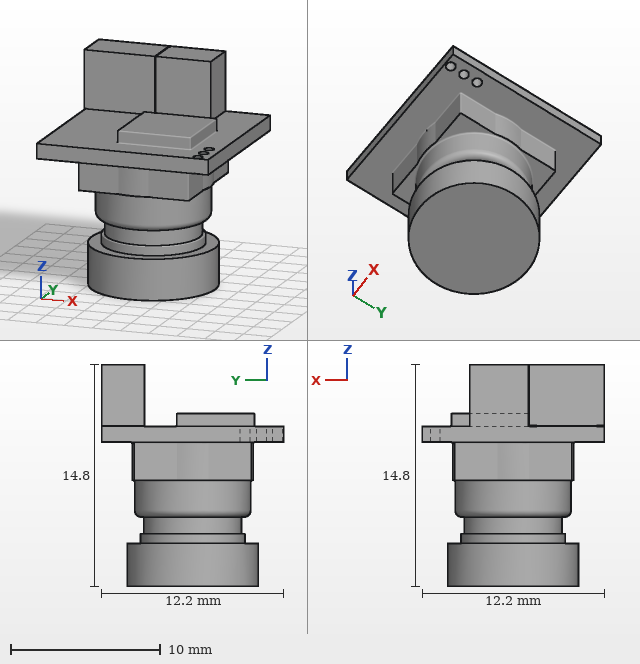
import cadquery as cq

EDGE_RADIUS = 0.09

BOARD_SIDE = 12.16
BOARD_THICKNESS = 1.05
HALF_BOARD = BOARD_SIDE / 2

HOLE_DIAMETER = 0.66
HOLE_COUNT = 3
HOLE_PITCH = 1.085
HOLE_INSET_X = 0.87
HOLE_INSET_Y = 0.43

CHIP_SIDE = 5.2
CHIP_HEIGHT = 0.87
CHIP_X = 1.53
CHIP_Y = -1.53

BLOCK_DEPTH = 2.87
BLOCK_HEIGHT = 4.13
BLOCK_ROW_LENGTH = 8.98
LEFT_BLOCK_LENGTH = 5.01
BLOCK_GAP = 0.06
PEDESTAL_INSET = 0.5

BASE_SIDE = 7.82
BASE_HEIGHT = 2.54
BULGE_RADIUS = 4.05

SLEEVE_RADIUS = 3.875
SLEEVE_FOOT_RADIUS = 0.12
SLEEVE_END = 5.0
SLEEVE_ROUNDING = 0.45
NECK_RADIUS = 3.27
NECK_END = 6.1
COLLAR_RADIUS = 3.49
COLLAR_ROUNDING = 0.06
COLLAR_END = 6.74
HEAD_RADIUS = 4.375
HEAD_END = 9.61

SELECTION_MARGIN = 0.01


def corner_box(x_start, x_end, y_start, y_end, z_start, z_end):
    """Axis-aligned box between two opposite corners."""
    size = (x_end - x_start, y_end - y_start, z_end - z_start)
    return cq.Workplane("XY").box(*size, centered=False).translate((x_start, y_start, z_start))


def cylinder_down(radius, depth_start, depth_end):
    """Cylinder on the lens axis between two depths below the board."""
    return cq.Workplane("XY", origin=(0, 0, -depth_end)).circle(radius).extrude(depth_end - depth_start)


def foot_edges(centre_x, centre_y, half_width, z):
    """Selector for edges in the flat face at height z that fit within half_width of the centre."""
    reach = half_width + SELECTION_MARGIN
    return cq.selectors.BoxSelector(
        (centre_x - reach, centre_y - reach, z - SELECTION_MARGIN),
        (centre_x + reach, centre_y + reach, z + SELECTION_MARGIN),
        boundingbox=True,
    )


def make_board():
    """Square board with the row of through holes."""
    board = corner_box(-HALF_BOARD, HALF_BOARD, -HALF_BOARD, HALF_BOARD, 0, BOARD_THICKNESS)
    hole_x = HALF_BOARD - HOLE_INSET_X
    first_hole_y = -HALF_BOARD + HOLE_INSET_Y
    hole_centres = [(hole_x, first_hole_y + i * HOLE_PITCH) for i in range(HOLE_COUNT)]
    holes = cq.Workplane("XY").pushPoints(hole_centres).circle(HOLE_DIAMETER / 2).extrude(BOARD_THICKNESS)
    return board.cut(holes)


def add_chip(body):
    """Chip with rounded edges and a small fillet around its foot."""
    chip = (
        cq.Workplane("XY", origin=(CHIP_X, CHIP_Y, BOARD_THICKNESS))
        .rect(CHIP_SIDE, CHIP_SIDE)
        .extrude(CHIP_HEIGHT)
        .edges("|Z or >Z")
        .fillet(EDGE_RADIUS)
    )
    foot = foot_edges(CHIP_X, CHIP_Y, CHIP_SIDE / 2, BOARD_THICKNESS)
    return body.union(chip).edges(foot).fillet(EDGE_RADIUS)


def add_holder_base(body):
    """Square base with bulged sides, filleted where it meets the board."""
    square = (
        cq.Workplane("XY")
        .rect(BASE_SIDE, BASE_SIDE)
        .extrude(-BASE_HEIGHT)
        .edges("|Z")
        .fillet(EDGE_RADIUS)
    )
    base = square.union(cylinder_down(BULGE_RADIUS, 0, BASE_HEIGHT))
    base_foot = foot_edges(0, 0, BULGE_RADIUS, 0)
    return body.union(base).edges(base_foot).fillet(EDGE_RADIUS)


def add_sleeve(body):
    """Round sleeve under the base, rounded at its lower rim and filleted at its foot."""
    sleeve = cylinder_down(SLEEVE_RADIUS, BASE_HEIGHT, SLEEVE_END).edges("<Z").fillet(SLEEVE_ROUNDING)
    sleeve_foot = foot_edges(0, 0, SLEEVE_RADIUS, -BASE_HEIGHT)
    return body.union(sleeve).edges(sleeve_foot).fillet(SLEEVE_FOOT_RADIUS)


def make_barrel():
    """Neck, collar and head of the lens, stacked downward."""
    neck = cylinder_down(NECK_RADIUS, SLEEVE_END, NECK_END)
    collar = cylinder_down(COLLAR_RADIUS, NECK_END, COLLAR_END).edges(">Z").fillet(COLLAR_ROUNDING)
    head = cylinder_down(HEAD_RADIUS, COLLAR_END, HEAD_END)
    return neck.union(collar).union(head)


def make_blocks():
    """Left block on a recessed pedestal, and right block standing on the board."""
    x_start = -HALF_BOARD
    left_end = x_start + LEFT_BLOCK_LENGTH
    right_start = left_end + BLOCK_GAP
    row_end = x_start + BLOCK_ROW_LENGTH
    y_start = HALF_BOARD - BLOCK_DEPTH
    z_top = BOARD_THICKNESS + BLOCK_HEIGHT
    left_bottom = BOARD_THICKNESS + BLOCK_GAP

    left = corner_box(x_start, left_end, y_start, HALF_BOARD, left_bottom, z_top)
    right = corner_box(right_start, row_end, y_start, HALF_BOARD, BOARD_THICKNESS, z_top)
    pedestal = corner_box(
        x_start + PEDESTAL_INSET,
        left_end - PEDESTAL_INSET,
        y_start + PEDESTAL_INSET,
        HALF_BOARD - PEDESTAL_INSET,
        BOARD_THICKNESS,
        left_bottom,
    )
    return left.union(pedestal), right


left_block, right_block = make_blocks()
body = add_chip(make_board())
body = add_holder_base(body)
body = add_sleeve(body)
result = body.union(make_barrel()).union(left_block).union(right_block)